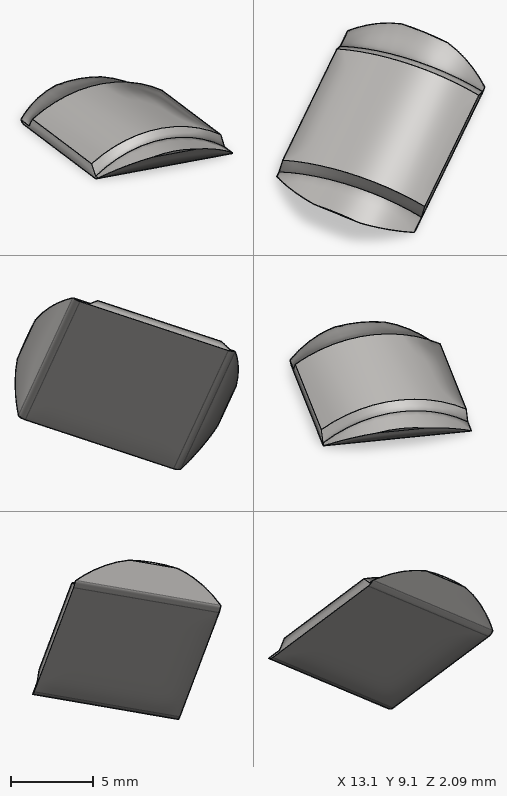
import cadquery as cq

length = 13.06
width = 9.1
height = 2.09

pad_side_height = 0.78
shoulder_drop = 0.51
crest_x = 4.02
foot_x = 4.55
crest_shift = 0.35
foot_shift = 0.39

undercut_height = 1.44
bottom_radius = 0.65

half_length = length / 2
half_width = width / 2

pad_rise = height - pad_side_height
pad_radius = (half_width**2 + pad_rise**2) / (2 * pad_rise)
crown_center_z = height - pad_radius
shoulder_radius = pad_radius - shoulder_drop


def crowned_section(x, shift, crown_radius):
    """Cross-section outline crossing the part at x, slanted by shift towards each side."""
    crown_top = crown_center_z + crown_radius
    crown_side = crown_center_z + (crown_radius**2 - half_width**2) ** 0.5
    near_bottom = cq.Vector(x + shift, -half_width, 0)
    far_bottom = cq.Vector(x - shift, half_width, 0)
    near_side = near_bottom + cq.Vector(0, 0, crown_side)
    far_side = far_bottom + cq.Vector(0, 0, crown_side)
    edges = [
        cq.Edge.makeLine(near_bottom, near_side),
        cq.Edge.makeThreePointArc(near_side, cq.Vector(x, 0, crown_top), far_side),
        cq.Edge.makeLine(far_side, far_bottom),
        cq.Edge.makeLine(far_bottom, near_bottom),
    ]
    return cq.Wire.assembleEdges(edges)


def crowned_body():
    """Shoulder, sloping wall, pad, sloping wall and shoulder, joined by straight rulings."""
    sections = [
        crowned_section(-half_length, 0, shoulder_radius),
        crowned_section(-foot_x, foot_shift, shoulder_radius),
        crowned_section(-crest_x, crest_shift, pad_radius),
        crowned_section(crest_x, crest_shift, pad_radius),
        crowned_section(foot_x, foot_shift, shoulder_radius),
        crowned_section(half_length, 0, shoulder_radius),
    ]
    return cq.Workplane(cq.Solid.makeLoft(sections, True))


def undercut_envelope():
    """Side profile with 45 degree ends and rounded lower corners, across the full width."""
    bottom_x = half_length - undercut_height
    return (
        cq.Workplane("XZ")
        .moveTo(-bottom_x, 0)
        .lineTo(bottom_x, 0)
        .lineTo(half_length, undercut_height)
        .lineTo(half_length, height)
        .lineTo(-half_length, height)
        .lineTo(-half_length, undercut_height)
        .close()
        .extrude(half_width, both=True)
        .edges("|Y and <Z")
        .fillet(bottom_radius)
    )


result = crowned_body().intersect(undercut_envelope())